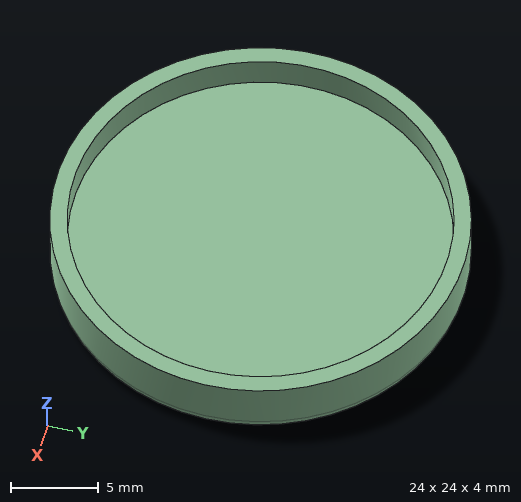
import cadquery as cq

outer_diameter = 24.0
inner_diameter = 22.0
cup_height = 4.0
recess_depth = cup_height / 2
wall = (outer_diameter - inner_diameter) / 2
bottom_edge_radius = wall


def make_cup():
    body = cq.Workplane("XY").circle(outer_diameter / 2).extrude(cup_height)
    body = body.faces("<Z").edges().fillet(bottom_edge_radius)
    return body.faces(">Z").workplane().circle(inner_diameter / 2).cutBlind(-recess_depth)


cup = make_cup()

result = cq.Compound.makeCompound([cup.val()])